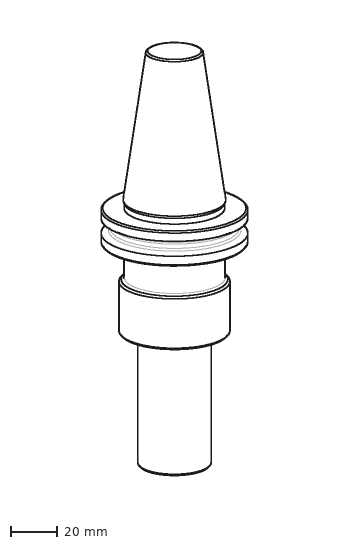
import cadquery as cq
import math

total_length = 188.4

shank_radius = 31.8 / 2
shank_chamfer = 1.0

nut_bottom = 60.1
nut_top = 84.4
nut_radius = 48.0 / 2
nut_chamfer = 1.0

neck_radius = 43.7 / 2
neck_fillet = 1.0

flange_bottom = 100.8
flange_top = 116.8
flange_radius = 63.5 / 2
flange_chamfer = 0.8

groove_radius = 56.0 / 2
groove_floor_bottom = 107.2
groove_floor_top = 110.5
groove_fillet = 1.1
groove_mouth_bottom = 105.5
groove_mouth_top = 112.3

collar_radius = 43.5 / 2
taper_bottom = 120.5
taper_large_radius = 44.5 / 2
taper_rate = 7 / 24
taper_small_radius = taper_large_radius - taper_rate * (total_length - taper_bottom) / 2
relief_bottom = taper_bottom - 1.1
taper_chamfer = 0.8


def cylinder(bottom, top, radius):
    """Solid cylinder on the Z axis between two heights."""
    return cq.Workplane("XY").workplane(offset=bottom).circle(radius).extrude(top - bottom)


def make_shank():
    shank = cylinder(0, nut_bottom, shank_radius)
    return shank.faces("<Z").edges().chamfer(shank_chamfer)


def make_nut():
    return cylinder(nut_bottom, nut_top, nut_radius).edges().chamfer(nut_chamfer)


def make_flange():
    """Gripper flange with a groove of sloping sides around its rim."""
    flange = cylinder(flange_bottom, flange_top, flange_radius).edges().chamfer(flange_chamfer)
    groove = (
        cq.Workplane("XZ")
        .moveTo(flange_radius, groove_mouth_bottom)
        .lineTo(groove_radius, groove_floor_bottom)
        .lineTo(groove_radius, groove_floor_top)
        .lineTo(flange_radius, groove_mouth_top)
        .close()
        .revolve(360, (0, 0), (0, 1))
    )
    floor_edges = cq.selectors.RadiusNthSelector(0)
    return flange.cut(groove.edges(floor_edges).fillet(groove_fillet))


def make_neck():
    """Neck that flares into the top face of the nut through a fillet."""
    fillet_centre_radius = neck_radius + neck_fillet
    fillet_top = nut_top + neck_fillet
    arc_offset = neck_fillet * math.sqrt(0.5)
    return (
        cq.Workplane("XZ")
        .moveTo(0, nut_top)
        .lineTo(fillet_centre_radius, nut_top)
        .threePointArc((fillet_centre_radius - arc_offset, fillet_top - arc_offset), (neck_radius, fillet_top))
        .lineTo(neck_radius, flange_bottom)
        .lineTo(0, flange_bottom)
        .close()
        .revolve(360, (0, 0), (0, 1))
    )


def make_taper():
    """Steep taper with a small relief cone running down to the collar."""
    taper = (
        cq.Workplane("XZ")
        .moveTo(0, relief_bottom)
        .lineTo(collar_radius, relief_bottom)
        .lineTo(taper_large_radius, taper_bottom)
        .lineTo(taper_small_radius, total_length)
        .lineTo(0, total_length)
        .close()
        .revolve(360, (0, 0), (0, 1))
    )
    return taper.faces(">Z").edges().chamfer(taper_chamfer)


collar = cylinder(flange_top, relief_bottom, collar_radius)

result = make_shank().union(make_nut()).union(make_neck()).union(make_flange()).union(collar).union(make_taper())